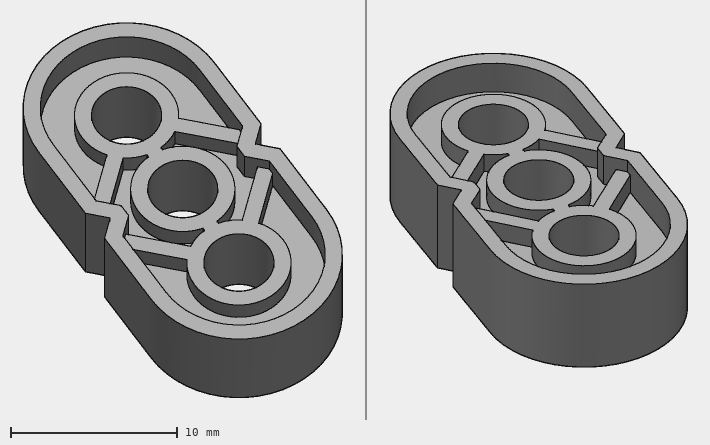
import cadquery as cq
import math

hole_pitch = 6.35
end_radius = 6.2
height = 6.1
notch_depth = 1.08
notch_angle = 45.0
notch_half_width = notch_depth / math.tan(math.radians(notch_angle))

wall = 1.03
pocket_depth = 2.1

hole_diameter = 4.2
ring_diameter = 6.25
ring_drop = 0.83
rib_width = 1.0
rib_angle = 45.0

floor_z = height - pocket_depth
ring_height = pocket_depth - ring_drop
hole_centers = [(i * hole_pitch, 0) for i in (-1, 0, 1)]


def pinched_slot(radius, mouth_half_width, depth, tip_half_width):
    """Slot outline with a notch in each long side; the notch tip may be flat."""
    tip_y = radius - depth
    outline = (
        cq.Workplane("XY")
        .moveTo(-hole_pitch, radius)
        .lineTo(-mouth_half_width, radius)
        .lineTo(-tip_half_width, tip_y)
    )
    if tip_half_width > 0:
        outline = outline.lineTo(tip_half_width, tip_y)
    outline = (
        outline.lineTo(mouth_half_width, radius)
        .lineTo(hole_pitch, radius)
        .threePointArc((hole_pitch + radius, 0), (hole_pitch, -radius))
        .lineTo(mouth_half_width, -radius)
        .lineTo(tip_half_width, -tip_y)
    )
    if tip_half_width > 0:
        outline = outline.lineTo(-tip_half_width, -tip_y)
    return (
        outline.lineTo(-mouth_half_width, -radius)
        .lineTo(-hole_pitch, -radius)
        .threePointArc((-hole_pitch - radius, 0), (-hole_pitch, radius))
        .close()
    )


def outer_body():
    return pinched_slot(end_radius, notch_half_width, notch_depth, 0).extrude(height)


def pocket():
    """Tray cavity: the outer outline moved inward by the wall thickness."""
    corner_shift = wall * math.tan(math.radians(notch_angle / 2))
    outline = pinched_slot(
        end_radius - wall, notch_half_width + corner_shift, notch_depth, corner_shift
    )
    return outline.extrude(pocket_depth).translate((0, 0, floor_z))


def rings():
    return (
        cq.Workplane("XY", origin=(0, 0, floor_z))
        .pushPoints(hole_centers)
        .circle(ring_diameter / 2)
        .extrude(ring_height)
    )


def ribs():
    """Two diagonal ribs from each end ring to the walls, and a bridge joining the rings."""
    bridge = cq.Workplane("XY", origin=(0, 0, floor_z)).box(
        2 * hole_pitch, rib_width, ring_height, centered=(True, True, False)
    )
    rib_length = (end_radius - wall / 2) / math.sin(math.radians(rib_angle))
    rib = cq.Workplane("XY").box(rib_length, rib_width, ring_height, centered=(False, True, False))
    joined = bridge
    for end in (-1, 1):
        inward = 0 if end < 0 else 180
        for side in (-1, 1):
            placed = rib.rotate((0, 0, 0), (0, 0, 1), inward + side * rib_angle)
            joined = joined.union(placed.translate((end * hole_pitch, 0, floor_z)))
    return joined


def holes():
    return cq.Workplane("XY").pushPoints(hole_centers).circle(hole_diameter / 2).extrude(height)


result = outer_body().cut(pocket()).union(rings()).union(ribs()).cut(holes())